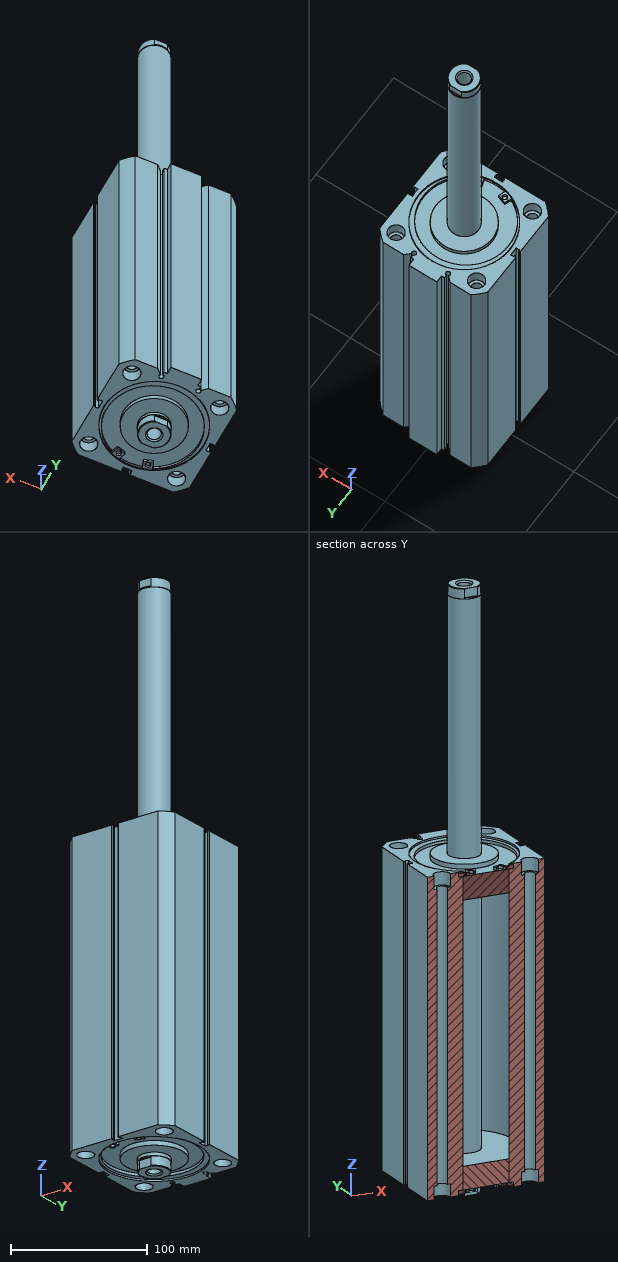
import cadquery as cq
import math


body_width = 96.5
body_half = body_width / 2
body_length = 252.5
corner_diameter = 124.5
total_depth = 102.0
rib_top = total_depth - body_half
rib_half = 12.55
rib_ledge_y = 47.5
relief_x = 15.0
relief_y = 42.85
relief_radius = 1.8
relief_flare_x = 21.0

slot_mouth = 4.5
slot_mouth_chamfer = 0.7
slot_width = 7.0
slot_depth = 4.3
slot_lip = 1.5

hole_offset = 36.0
hole_diameter = 8.5
counterbore_diameter = 13.3
counterbore_depth = 10.5

bore_radius = 40.5
groove_radius = 42.5
ring_recess = 1.5
ring_thickness = 2.5
cover_recess = ring_recess + ring_thickness
cover_thickness = 19.0
boss_radius = 25.0

ring_inner_radius = 38.0
ring_inner_shift = 2.5
ear_angle = 19
ear_width = 7.5
ear_inner_radius = 34.0
ear_hole_radius = 37.0
ear_hole_diameter = 4.3

rod_diameter = 25.0
rod_length = 473.5
rod_bottom_overhang = 11.0
rod_bottom = -rod_bottom_overhang
rod_top = rod_bottom + rod_length
rod_middle = (0, 0, (rod_bottom + rod_top) / 2)
flat_spacing = 22.3
flat_length = 7.0
tip_diameter = 24.5
tip_length = 8.0
tip_chamfer = 0.5
thread_hole_diameter = 10.5
thread_hole_mouth = 13.0
thread_hole_depth = 30.0
drill_point_angle = 118


def at_both_ends(make_top_shape):
    """Return the shape made for the top end and its mirror image at the bottom end."""
    top_shape = make_top_shape()
    mid_plane = (0, 0, body_length / 2)
    return [top_shape, top_shape.mirror("XY", mid_plane)]


def cylinder(radius, bottom, top):
    return cq.Workplane("XY").workplane(offset=bottom).circle(radius).extrude(top - bottom)


def prism(points, bottom=0, top=body_length):
    return cq.Workplane("XY").workplane(offset=bottom).polyline(points).close().extrude(top - bottom)


def make_profile():
    body = cq.Workplane("XY").rect(body_width, body_width).extrude(body_length)
    body = body.intersect(cylinder(corner_diameter / 2, 0, body_length))
    rib = prism([(-rib_half, 0), (rib_half, 0), (rib_half, rib_top), (-rib_half, rib_top)])
    return body.union(rib)


def make_rib_relief(side):
    relief = prism(
        [
            (side * rib_half, body_half),
            (side * rib_half, rib_ledge_y),
            (side * relief_x, rib_ledge_y),
            (side * relief_x, relief_y),
            (side * relief_flare_x, body_half),
        ]
    )
    pocket = cq.Workplane("XY").center(side * relief_x, relief_y).circle(relief_radius)
    return relief.union(pocket.extrude(body_length))


def make_slot(angle):
    outer = -body_half
    lip = outer + slot_lip
    floor = outer + slot_depth
    right_half = [
        (slot_mouth / 2 + slot_mouth_chamfer, outer),
        (slot_mouth / 2, outer + slot_mouth_chamfer),
        (slot_mouth / 2, lip),
        (slot_width / 2, lip),
        (slot_width / 2, floor),
    ]
    left_half = [(-x, y) for x, y in reversed(right_half)]
    slot = prism(right_half + left_half)
    return slot.rotate((0, 0, 0), (0, 0, 1), angle)


def make_ring_groove():
    return cylinder(groove_radius, body_length - cover_recess, body_length - ring_recess)


def make_corner_holes(diameter, bottom):
    plane = cq.Workplane("XY").workplane(offset=bottom)
    corners = plane.rect(2 * hole_offset, 2 * hole_offset, forConstruction=True).vertices()
    return corners.circle(diameter / 2).extrude(body_length - bottom)


def make_counterbores():
    return make_corner_holes(counterbore_diameter, body_length - counterbore_depth)


def make_tube():
    tube = make_profile()
    for side in (-1, 1):
        tube = tube.cut(make_rib_relief(side))
    for angle in (-90, 0, 90):
        tube = tube.cut(make_slot(angle))
    tube = tube.cut(cylinder(bore_radius, 0, body_length))
    tube = tube.cut(make_corner_holes(hole_diameter, 0))
    for cutter in at_both_ends(make_ring_groove) + at_both_ends(make_counterbores):
        tube = tube.cut(cutter)
    return tube


def make_cover():
    face = body_length - cover_recess
    cover = cylinder(bore_radius, face - cover_thickness, face)
    cover = cover.union(cylinder(boss_radius, face, body_length))
    return cover.cut(cylinder(rod_diameter / 2, face - cover_thickness, body_length))


def make_ear(side, bottom, top):
    half = ear_width / 2
    ear = prism(
        [
            (-half, -ear_inner_radius),
            (half, -ear_inner_radius),
            (half, -groove_radius),
            (-half, -groove_radius),
        ],
        bottom,
        top,
    )
    ear = ear.cut(cylinder(ear_hole_diameter / 2, bottom, top).translate((0, -ear_hole_radius, 0)))
    ear = ear.rotate((0, 0, 0), (0, 0, 1), side * ear_angle)
    return ear.intersect(cylinder(groove_radius, bottom, top))


def make_snap_ring():
    bottom = body_length - cover_recess
    top = body_length - ring_recess
    opening = cylinder(ring_inner_radius, bottom, top).translate((0, -ring_inner_shift, 0))
    ring = cylinder(groove_radius, bottom, top).cut(opening)
    gap_reach = 2 * groove_radius
    gap_half = gap_reach * math.tan(math.radians(ear_angle))
    ring = ring.cut(prism([(0, 0), (-gap_half, -gap_reach), (gap_half, -gap_reach)], bottom, top))
    for side in (-1, 1):
        ring = ring.union(make_ear(side, bottom, top))
    return ring


def make_thread_hole():
    radius = thread_hole_diameter / 2
    mouth = thread_hole_mouth / 2
    point = radius / math.tan(math.radians(drill_point_angle / 2))
    floor = rod_top - thread_hole_depth
    profile = [
        (0, rod_top),
        (mouth, rod_top),
        (radius, rod_top - (mouth - radius)),
        (radius, floor),
        (0, floor - point),
    ]
    return cq.Workplane("XZ").polyline(profile).close().revolve(360, (0, 0), (0, 1))


def make_flats():
    blank_width = 2 * rod_diameter
    plane = cq.Workplane("XY").workplane(offset=rod_top - flat_length)
    blank = plane.rect(blank_width, blank_width).extrude(flat_length)
    return blank.cut(plane.rect(blank_width, flat_spacing).extrude(flat_length))


def make_rod():
    rod = cylinder(tip_diameter / 2, rod_bottom, rod_top)
    rod = rod.faces("<Z or >Z").edges().chamfer(tip_chamfer)
    rod = rod.union(cylinder(rod_diameter / 2, rod_bottom + tip_length, rod_top - tip_length))
    end_cuts = make_flats().union(make_thread_hole())
    return rod.cut(end_cuts).cut(end_cuts.mirror("XY", rod_middle))


tube = make_tube()
covers = at_both_ends(make_cover)
snap_rings = at_both_ends(make_snap_ring)
rod = make_rod()

solids = [tube.val(), rod.val()]
solids += [part.val() for part in covers + snap_rings]
result = cq.Compound.makeCompound(solids)